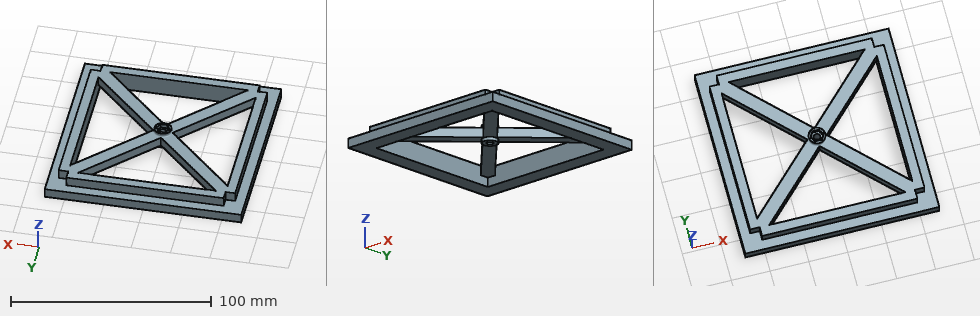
import cadquery as cq
import math

base_side = 100.0
step = 5.0
wall_outer = 89.8
opening = base_side - 4 * step
frame_height = 2 * step

brace_width = step * math.sqrt(2)
brace_length = opening * math.sqrt(2)
brace_thickness = 5.1

total_height = 12.0
boss_diameter = 8.5
boss_bottom = 3.0
boss_fillet = 0.7
nut_across_flats = 5.8
nut_depth = 2.0
hole_diameter = 3.5


def block(length, width, bottom, height):
    return cq.Workplane("XY").workplane(offset=bottom).rect(length, width).extrude(height)


def make_frame():
    """Square flange with a raised wall notched at its four corners."""
    flange = block(base_side, base_side, 0, step)
    wall = block(wall_outer, opening, step, step).union(block(opening, wall_outer, step, step))
    return flange.union(wall).cut(block(opening, opening, 0, frame_height))


def make_braces():
    """Two crossed bars joining opposite corners, trimmed to the opening."""
    bottom = frame_height - brace_thickness
    bar = block(brace_length, brace_width, bottom, brace_thickness)
    cross = bar.rotate((0, 0, 0), (0, 0, 1), 45).union(bar.rotate((0, 0, 0), (0, 0, 1), -45))
    opening_block = block(opening, opening, bottom, brace_thickness)
    return cross.intersect(opening_block)


def make_boss():
    """Round boss with a concave fillet where it leaves the top of the braces."""
    radius = boss_diameter / 2
    foot = radius + boss_fillet
    fillet_top = frame_height + boss_fillet
    diagonal = boss_fillet * (1 - math.sqrt(0.5))
    return (
        cq.Workplane("XZ")
        .moveTo(0, boss_bottom)
        .lineTo(radius, boss_bottom)
        .lineTo(radius, frame_height)
        .lineTo(foot, frame_height)
        .threePointArc((radius + diagonal, frame_height + diagonal), (radius, fillet_top))
        .lineTo(radius, total_height)
        .lineTo(0, total_height)
        .close()
        .revolve(360, (0, 0, 0), (0, 1, 0))
    )


def make_nut_hole():
    """Hexagonal nut pocket in the boss, with flats facing +Y and -Y, above a through hole."""
    across_corners = nut_across_flats / math.cos(math.pi / 6)
    pocket = (
        cq.Workplane("XY")
        .workplane(offset=total_height - nut_depth)
        .polygon(6, across_corners)
        .extrude(nut_depth)
    )
    hole = cq.Workplane("XY").circle(hole_diameter / 2).extrude(total_height)
    return pocket.union(hole)


result = make_frame().union(make_braces()).union(make_boss()).cut(make_nut_hole())